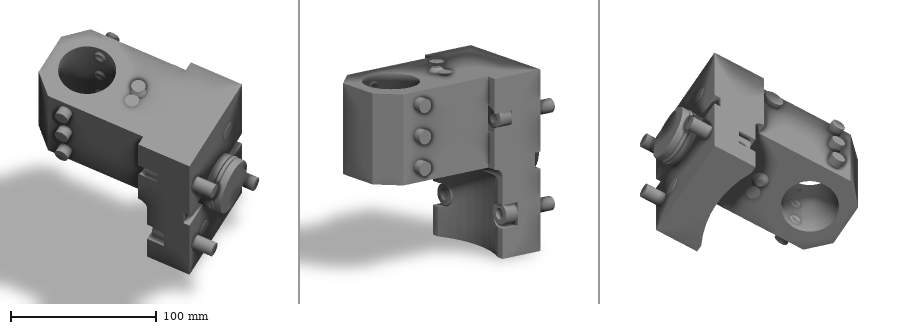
import cadquery as cq
import math

block_height = 130.0
base_width = 78.0
arm_width = 63.4
arm_end_x = 89.1
arm_bottom_z = 65.0
nose_chamfer = 15.1
mount_face_x = 129.0
overall_length = 144.0

inside_corner_radius = 6.9
column_front_x = arm_end_x + inside_corner_radius
ledge_z = arm_bottom_z - inside_corner_radius

bore_x = 29.0
bore_radius = 20.0
cavity_radius = 75.0
cavity_fillet = 3.0

pin_radius = 5.0
pin_top_z = 121.0
pin_spacing = 22.5
pin_count = 3
pin_outer_y = 38.6
pin_tip_y = 18.5
pin_tip_radius = 3.5
pin_cup_depth = 2.2

screw_y = 31.0
upper_screw_z = 100.0
lower_screw_z = 30.0
screw_radius = 5.0
head_radius = 8.0
head_length = 10.0
head_fillet = 0.7
socket_radius = 4.0
socket_depth = 4.3
socket_cone_depth = 2.3
upper_recess_floor_x = 104.1
lower_recess_floor_x = 109.3
upper_recess_radius = 9.5
lower_recess_radius = 8.5

spigot_z = arm_bottom_z
spigot_radius = 20.0
spigot_end_x = 143.0
spigot_chamfer_length = 1.0
spigot_chamfer_height = 0.5
groove_start_x = 134.0
groove_end_x = 138.1
groove_floor_radius = 17.9
ring_x = 136.0
ring_tube_radius = 1.5
ring_center_radius = 19.0
keyway_bottom_z = 59.0
keyway_width = 12.1
keyway_depth = 4.8

seal_radius = 6.3
seal_height = 0.5
seal_offset_y = 17.9
seal_offset_z = 36.0

nozzle_x = 68.8
ball_radius = 6.3
ball_flat_height = 3.5
ball_center_depth = 2.2
screw_offset_y = -9.5
cone_radius = 5.0
cone_slope = 0.92
side_screw_height = 2.2
plug_top_z = 137.5
plug_neck_radius = 2.3
plug_cone_height = 2.7

boss_x = 79.0
boss_z = 116.6
boss_radius = 7.0
boss_outer_y = 35.9


def cylinder(start, direction, radius, length):
    """Cylinder growing from a start point along a direction."""
    return cq.Workplane(cq.Solid.makeCylinder(radius, length, cq.Vector(*start), cq.Vector(*direction)))


def cone(start, direction, start_radius, end_radius, length):
    """Cone frustum growing from a start point along a direction."""
    return cq.Workplane(
        cq.Solid.makeCone(start_radius, end_radius, length, cq.Vector(*start), cq.Vector(*direction))
    )


def box(x_range, y_range, z_range):
    """Box between two limits along each axis."""
    lows, highs = zip(x_range, y_range, z_range)
    size = [high - low for low, high in zip(lows, highs)]
    return cq.Workplane("XY").box(*size, centered=False).translate(lows)


def make_body():
    """L-shaped body: wide base and column, and a narrower chamfered arm with the tool bore."""
    arm = box((0, arm_end_x), (-arm_width / 2, arm_width / 2), (arm_bottom_z, block_height))
    arm = arm.edges("|Z and <X").chamfer(nose_chamfer)
    bend = inside_corner_radius * math.sqrt(0.5)
    base = (
        cq.Workplane("XZ")
        .moveTo(arm_end_x, block_height)
        .lineTo(mount_face_x, block_height)
        .lineTo(mount_face_x, 0)
        .lineTo(column_front_x, 0)
        .lineTo(column_front_x, ledge_z)
        .threePointArc((arm_end_x + bend, ledge_z + bend), (arm_end_x, arm_bottom_z))
        .close()
        .extrude(base_width / 2, both=True)
    )
    cavity = cylinder((bore_x, 0, 0), (0, 0, 1), cavity_radius, ledge_z)
    cavity = cavity.faces(">Z").edges().fillet(cavity_fillet)
    bore = cylinder((bore_x, 0, 0), (0, 0, 1), bore_radius, block_height)
    return base.cut(cavity).union(arm).cut(bore)


def cut_keyway(body):
    """Keyway across the mounting face, level with the spigot."""
    keyway = box(
        (mount_face_x - keyway_depth, mount_face_x),
        (-base_width / 2, base_width / 2),
        (keyway_bottom_z, keyway_bottom_z + keyway_width),
    )
    return body.cut(keyway)


def make_spigot():
    """Spigot with a chamfered end and an O-ring seated in its groove."""
    start_x = mount_face_x - keyway_depth
    spigot = cylinder((start_x, 0, spigot_z), (1, 0, 0), spigot_radius, spigot_end_x - start_x)
    spigot = spigot.faces(">X").chamfer(spigot_chamfer_length, spigot_chamfer_height)
    groove_start = (groove_start_x, 0, spigot_z)
    groove_width = groove_end_x - groove_start_x
    groove = cylinder(groove_start, (1, 0, 0), spigot_radius, groove_width)
    groove = groove.cut(cylinder(groove_start, (1, 0, 0), groove_floor_radius, groove_width))
    ring = cq.Workplane(
        cq.Solid.makeTorus(
            ring_center_radius, ring_tube_radius, cq.Vector(ring_x, 0, spigot_z), cq.Vector(1, 0, 0)
        )
    )
    return spigot.cut(groove).union(ring)


def make_screw(y, z, seat_x):
    """Socket head cap screw whose head rests at seat_x and whose shank passes the mounting face."""
    head_x = seat_x - head_length
    head = cylinder((head_x, y, z), (1, 0, 0), head_radius, head_length)
    head = head.faces("<X").edges().fillet(head_fillet)
    socket = cylinder((head_x, y, z), (1, 0, 0), socket_radius, socket_depth)
    socket_tip = cone((head_x + socket_depth, y, z), (1, 0, 0), socket_radius, 0, socket_cone_depth)
    shank = cylinder((seat_x, y, z), (1, 0, 0), screw_radius, overall_length - seat_x)
    return head.cut(socket).cut(socket_tip).union(shank)


def add_mounting_screws(body):
    """One screw in a round recess beside the arm, and two in side-open recesses at the foot."""
    upper_length = upper_recess_floor_x - arm_end_x
    upper_start = (arm_end_x, -screw_y, upper_screw_z)
    upper_recess = cylinder(upper_start, (1, 0, 0), upper_recess_radius, upper_length)
    body = body.cut(upper_recess).union(make_screw(-screw_y, upper_screw_z, upper_recess_floor_x))
    for side in (-1, 1):
        recess_length = lower_recess_floor_x - column_front_x
        recess = cylinder(
            (column_front_x, side * screw_y, lower_screw_z), (1, 0, 0), lower_recess_radius, recess_length
        )
        side_opening = box(
            (column_front_x, lower_recess_floor_x),
            sorted((side * screw_y, side * base_width / 2)),
            (lower_screw_z - lower_recess_radius, lower_screw_z + lower_recess_radius),
        )
        body = body.cut(recess).cut(side_opening)
        body = body.union(make_screw(side * screw_y, lower_screw_z, lower_recess_floor_x))
    return body


def make_clamp_pin(side, z):
    """Pin from outside the arm flank to a tapered, cupped tip inside the bore."""
    inward = (0, -side, 0)
    taper_length = pin_radius - pin_tip_radius
    straight_length = pin_outer_y - pin_tip_y - taper_length
    taper_y = side * (pin_tip_y + taper_length)
    pin = cylinder((bore_x, side * pin_outer_y, z), inward, pin_radius, straight_length)
    tip = cone((bore_x, taper_y, z), inward, pin_radius, pin_tip_radius, taper_length)
    cup = cone((bore_x, side * pin_tip_y, z), (0, side, 0), pin_tip_radius, 0, pin_cup_depth)
    return pin.union(tip).cut(cup)


def add_clamp_pins(body):
    """Row of clamp pins on both flanks of the arm."""
    for side in (-1, 1):
        for index in range(pin_count):
            body = body.union(make_clamp_pin(side, pin_top_z - index * pin_spacing))
    return body


def make_nozzle(face_z, up):
    """Flattened ball and countersunk screw head standing proud of an arm face."""
    outward = (0, 0, up)
    ball = cq.Workplane("XY").sphere(ball_radius)
    ball = ball.translate((nozzle_x, 0, face_z - up * ball_center_depth))
    flat_z = face_z + up * ball_flat_height
    ball = ball.cut(cylinder((nozzle_x, 0, flat_z), outward, ball_radius, ball_radius))
    base_radius = cone_radius - cone_slope * side_screw_height
    head = cone((nozzle_x, screw_offset_y, face_z), outward, base_radius, cone_radius, side_screw_height)
    return ball.union(head)


def make_nozzle_plug():
    """Necked countersunk plug standing on the upper ball."""
    cone_z = plug_top_z - plug_cone_height
    neck = cylinder((nozzle_x, 0, block_height), (0, 0, 1), plug_neck_radius, cone_z - block_height)
    head_base_radius = cone_radius - cone_slope * plug_cone_height
    head = cone((nozzle_x, 0, cone_z), (0, 0, 1), head_base_radius, cone_radius, plug_cone_height)
    return neck.union(head)


def add_seal_discs(body):
    """Two thin discs on the mounting face, diagonally opposite about the spigot."""
    for side in (-1, 1):
        start = (mount_face_x, side * seal_offset_y, spigot_z + side * seal_offset_z)
        body = body.union(cylinder(start, (1, 0, 0), seal_radius, seal_height))
    return body


def make_flank_boss():
    """Round boss rising from the +Y flank of the arm."""
    flank_y = arm_width / 2
    return cylinder((boss_x, flank_y, boss_z), (0, 1, 0), boss_radius, boss_outer_y - flank_y)


result = cut_keyway(make_body())
result = result.union(make_spigot())
result = add_mounting_screws(result)
result = add_clamp_pins(result)
result = result.union(make_nozzle(block_height, 1))
result = result.union(make_nozzle(arm_bottom_z, -1))
result = result.union(make_nozzle_plug())
result = add_seal_discs(result)
result = result.union(make_flank_boss())